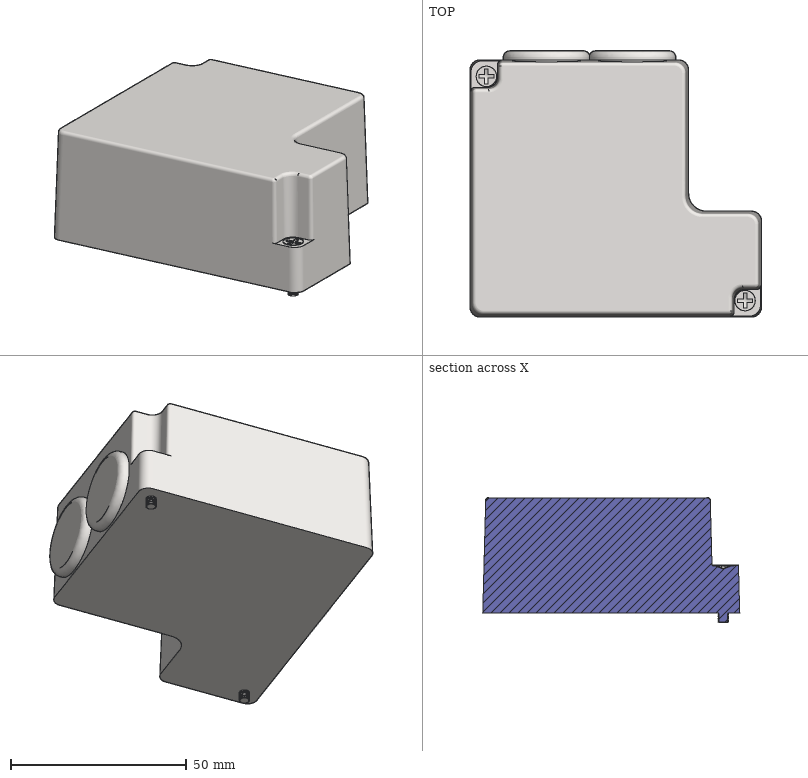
import cadquery as cq
import math

length_x = 83.2
depth_y = 73.4
height = 33.0
wide_arm_x = 62.4
short_arm_y = 30.3
draft_angle = 1.5
corner_radius = 3.0
inner_corner_radius = 5.0
edge_radius = 1.0

notch_size = 7.9
notch_floor_z = 13.65

screw_inset = 4.75
head_diameter = 5.8
head_recess = 0.2
cross_length = 4.3
cross_width = 1.0
cross_depth = 0.8
shank_diameter = 3.0
shank_length = 2.7
thread_pitch = 0.5
thread_depth = 0.25

plug_width = 24.8
plug_height = 23.0
plug_pitch = 24.5
first_plug_x = 21.9
plug_z = 12.4
plug_front_y = 76.0
plug_back_y = 73.3
plug_edge_radius = 1.9
neck_radius = 9.7
neck_root_y = 70.75

draft = math.tan(math.radians(draft_angle))

screw_centres = [
    (screw_inset, depth_y - screw_inset),
    (length_x - screw_inset, screw_inset),
]


def fillet_upright_edge(solid, x, y, z, radius):
    """Round the upright edge whose middle is closest to the given point."""
    edge = cq.selectors.NearestToPointSelector((x, y, z))
    return solid.edges("not #Z").edges(edge).fillet(radius)


def make_block():
    """Drafted rectangular block whose upright corners are rounded, except the one to be cut off."""
    block = (
        cq.Workplane("XY")
        .rect(length_x, depth_y, centered=False)
        .extrude(height, taper=draft_angle)
    )
    for x, y in [(0, 0), (length_x, 0), (0, depth_y)]:
        block = fillet_upright_edge(block, x, y, height / 2, corner_radius)
    return block


def cut_corner(solid, corner, size, floor_z, inner_radius, lip_radius):
    """Cut a corner away above floor_z; the cut widens upward by the draft.

    The size is measured from the base outline to the cut walls at the floor.
    """
    corner_x, corner_y = corner
    size_x, size_y = size
    into_x = 1 if corner_x == 0 else -1
    into_y = 1 if corner_y == 0 else -1
    cut_height = height - floor_z
    widening = 2 * draft * cut_height
    cutter = (
        cq.Workplane("XY", origin=(corner_x, corner_y, floor_z))
        .rect(2 * size_x, 2 * size_y)
        .workplane(offset=cut_height)
        .rect(2 * size_x + widening, 2 * size_y + widening)
        .loft(ruled=True)
    )
    solid = solid.cut(cutter)

    middle_z = (floor_z + height) / 2
    side_inset = draft * middle_z
    wall_inset_x = size_x + draft * cut_height / 2
    wall_inset_y = size_y + draft * cut_height / 2
    upright_edges = [
        (wall_inset_x, wall_inset_y, inner_radius),
        (side_inset, wall_inset_y, lip_radius),
        (wall_inset_x, side_inset, lip_radius),
    ]
    for inset_x, inset_y, radius in upright_edges:
        x = corner_x + into_x * inset_x
        y = corner_y + into_y * inset_y
        solid = fillet_upright_edge(solid, x, y, middle_z, radius)
    return solid


def make_cross_recess():
    """Cross recess whose four arms slope down a shallow cone to a common point."""
    half = cross_length / 2
    cone = (
        cq.Workplane("XZ")
        .polyline([(0, 0), (half, 0), (0, -cross_depth)])
        .close()
        .revolve(360, (0, 0, 0), (0, 1, 0))
    )
    arm = cq.Workplane("XY").rect(cross_length, cross_width).extrude(-cross_depth)
    cross = arm.union(arm.rotate((0, 0, 0), (0, 0, 1), 90))
    return cone.intersect(cross)


def make_head_pocket():
    """Pocket over the sunk screw head, with the cross recess below it."""
    pocket = cq.Workplane("XY").circle(head_diameter / 2).extrude(head_recess)
    return pocket.union(make_cross_recess())


def make_shank():
    """Threaded screw end below the base, with V-shaped rings for its thread."""
    crest = shank_diameter / 2
    root = crest - thread_depth
    thread_count = int(shank_length / thread_pitch)
    profile = cq.Workplane("XZ").moveTo(0, thread_pitch).lineTo(crest, thread_pitch).lineTo(crest, 0)
    for turn in range(thread_count):
        top_z = -turn * thread_pitch
        profile = profile.lineTo(root, top_z - thread_pitch / 2).lineTo(crest, top_z - thread_pitch)
    profile = profile.lineTo(root, -shank_length).lineTo(0, -shank_length).close()
    return profile.revolve(360, (0, 0, 0), (0, 1, 0))


def make_plug(x):
    """Oval plug with a rounded front rim, held to the wall by a round neck."""
    plane = cq.Plane(origin=(x, plug_front_y, plug_z), xDir=(1, 0, 0), normal=(0, -1, 0))
    oval = (
        cq.Workplane(plane)
        .ellipse(plug_width / 2, plug_height / 2)
        .extrude(plug_front_y - plug_back_y)
        .faces(">Y")
        .edges()
        .fillet(plug_edge_radius)
    )
    neck = cq.Workplane(plane).circle(neck_radius).extrude(plug_front_y - neck_root_y)
    return oval.union(neck)


housing = make_block()
housing = cut_corner(
    housing,
    corner=(length_x, depth_y),
    size=(length_x - wide_arm_x, depth_y - short_arm_y),
    floor_z=0,
    inner_radius=inner_corner_radius,
    lip_radius=corner_radius,
)
for notch_corner in [(0, depth_y), (length_x, 0)]:
    housing = cut_corner(
        housing,
        corner=notch_corner,
        size=(notch_size, notch_size),
        floor_z=notch_floor_z,
        inner_radius=corner_radius,
        lip_radius=edge_radius,
    )
housing = housing.faces(">Z").edges().fillet(edge_radius)

head_z = notch_floor_z - head_recess
for centre_x, centre_y in screw_centres:
    housing = housing.cut(make_head_pocket().translate((centre_x, centre_y, head_z)))
    housing = housing.union(make_shank().translate((centre_x, centre_y, 0)))

for plug_x in [first_plug_x, first_plug_x + plug_pitch]:
    housing = housing.union(make_plug(plug_x))

result = housing